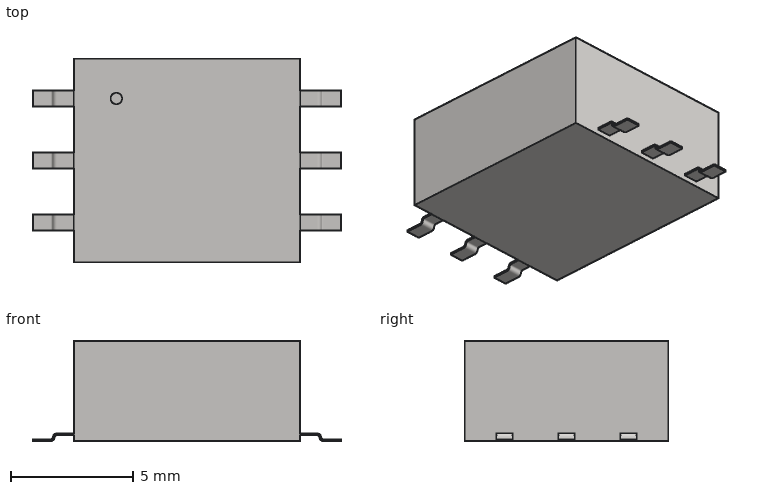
import cadquery as cq
import math

overall_length = 12.6
housing_length = 9.25
housing_width = 8.32
housing_height = 4.1

lead_width = 0.67
lead_pitch = 2.53
leads_per_side = 3
lead_thickness = 0.08
lead_rise = 0.24
foot_length = 0.73
bend_angle = math.radians(75)
bend_radius = 0.12

marker_diameter = 0.47
marker_depth = 0.08
marker_x = -2.89
marker_y = lead_pitch

tip_x = -overall_length / 2
housing_side_x = -housing_length / 2
inner_radius = bend_radius - lead_thickness / 2
outer_radius = bend_radius + lead_thickness / 2
slope_rise = lead_rise - 2 * bend_radius * (1 - math.cos(bend_angle))
slope_run = slope_rise / math.tan(bend_angle)
lower_bend_x = tip_x + foot_length
upper_bend_x = lower_bend_x + 2 * bend_radius * math.sin(bend_angle) + slope_run
lower_center_z = lead_thickness / 2 + bend_radius
upper_center_z = lead_thickness / 2 + lead_rise - bend_radius


def lower_bend_point(radius, angle):
    """Point on the lower bend, with the angle turned from the foot."""
    return (lower_bend_x + radius * math.sin(angle), lower_center_z - radius * math.cos(angle))


def upper_bend_point(radius, angle):
    """Point on the upper bend, with the angle turned from the shoulder."""
    return (upper_bend_x - radius * math.sin(angle), upper_center_z + radius * math.cos(angle))


def make_lead(y):
    """Lead on the -X side, centred at the given Y and ending at the housing side."""
    half_bend = bend_angle / 2
    profile = (
        cq.Workplane("XZ", origin=(0, y, 0))
        .moveTo(tip_x, 0)
        .lineTo(*lower_bend_point(outer_radius, 0))
        .threePointArc(lower_bend_point(outer_radius, half_bend), lower_bend_point(outer_radius, bend_angle))
        .lineTo(*upper_bend_point(inner_radius, bend_angle))
        .threePointArc(upper_bend_point(inner_radius, half_bend), upper_bend_point(inner_radius, 0))
        .lineTo(housing_side_x, lead_rise)
        .lineTo(housing_side_x, lead_rise + lead_thickness)
        .lineTo(*upper_bend_point(outer_radius, 0))
        .threePointArc(upper_bend_point(outer_radius, half_bend), upper_bend_point(outer_radius, bend_angle))
        .lineTo(*lower_bend_point(inner_radius, bend_angle))
        .threePointArc(lower_bend_point(inner_radius, half_bend), lower_bend_point(inner_radius, 0))
        .lineTo(tip_x, lead_thickness)
        .close()
    )
    return profile.extrude(lead_width / 2, both=True)


def make_marker():
    """Disc whose upper face is level with the housing top."""
    return (
        cq.Workplane("XY", origin=(marker_x, marker_y, housing_height - marker_depth))
        .circle(marker_diameter / 2)
        .extrude(marker_depth)
    )


def make_housing(marker):
    """Plain block with a recess that fits the marker."""
    block = cq.Workplane("XY").box(
        housing_length, housing_width, housing_height, centered=(True, True, False)
    )
    return block.cut(marker)


marker = make_marker()
housing = make_housing(marker)

leads = []
for row in range(leads_per_side):
    row_y = (row - (leads_per_side - 1) / 2) * lead_pitch
    left_lead = make_lead(row_y)
    right_lead = left_lead.mirror("YZ")
    leads.append(left_lead.val())
    leads.append(right_lead.val())

result = cq.Compound.makeCompound([housing.val(), marker.val(), *leads])